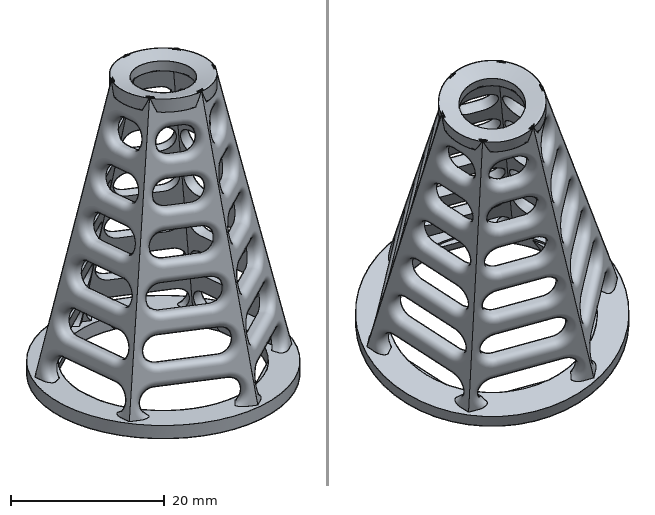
import cadquery as cq
import math

height = 44.55
side_count = 6

base_diameter = 35.6
base_bore_diameter = 27.35
base_thickness = 1.95

bottom_corner_radius = base_diameter / 2
top_corner_radius = 7.0
wall_thickness = 2.0

collar_thickness = 1.95
collar_drop = 0.15
collar_bore_diameter = 8.65
collar_rim_width = 0.25
dish_depth = 0.5

row_count = 6
row_pitch = 7.0
slot_width = 4.0
slot_rounding = 1.0
passage_depth = 2.45
corner_land = 0.5

collar_top = height - collar_drop
collar_bottom = collar_top - collar_thickness

apothem_ratio = math.cos(math.pi / side_count)
side_ratio = 2 * math.sin(math.pi / side_count)
corner_taper = (bottom_corner_radius - top_corner_radius) / height
face_tilt = math.atan(corner_taper * apothem_ratio)
inner_offset = wall_thickness / math.cos(face_tilt) / apothem_ratio


def corner_radius(z):
    return bottom_corner_radius - corner_taper * z


def hexagonal_frustum(z_top, offset):
    """Six-sided frustum from z = 0, its corners moved inward by offset."""
    return (
        cq.Workplane("XY")
        .polygon(side_count, 2 * (corner_radius(0) - offset))
        .workplane(offset=z_top)
        .polygon(side_count, 2 * (corner_radius(z_top) - offset))
        .loft(ruled=True)
    )


def slot_cutter(z):
    """Cutter for one slot in the -Y face, square to it and flared at its mouth."""
    face_side = corner_radius(z) * side_ratio
    mouth_width = slot_width + 2 * slot_rounding
    mouth_length = face_side - 2 * corner_land
    slot_length = mouth_length - 2 * slot_rounding

    slab = (
        cq.Workplane("XY")
        .rect(mouth_length + corner_land, mouth_width + corner_land)
        .extrude(slot_rounding)
    )
    passage = (
        cq.Workplane("XY")
        .slot2D(slot_length, slot_width)
        .extrude(-passage_depth)
    )
    mouth_edges = cq.selectors.BoxSelector(
        (-mouth_length / 2, -mouth_width / 2, -slot_rounding / 2),
        (mouth_length / 2, mouth_width / 2, slot_rounding / 2),
    )
    cutter = slab.union(passage).edges(mouth_edges).fillet(slot_rounding)
    face_plane = cq.Plane(
        origin=(0, -corner_radius(z) * apothem_ratio, z),
        xDir=(1, 0, 0),
        normal=(0, -math.cos(face_tilt), math.sin(face_tilt)),
    )
    return cq.Workplane(cutter.val().moved(cq.Location(face_plane)))


def side_wedge():
    """Triangular prism holding everything between two neighbouring tower corners."""
    reach = 2 * bottom_corner_radius
    half_width = reach * math.tan(math.pi / side_count)
    return (
        cq.Workplane("XY")
        .polyline([(0, 0), (-half_width, -reach), (half_width, -reach)])
        .close()
        .extrude(height)
    )


def side_panel():
    """The -Y side of the tower wall with its column of slots."""
    shell = hexagonal_frustum(height, 0).cut(hexagonal_frustum(collar_bottom, inner_offset))
    panel = shell.intersect(side_wedge())
    row_rise = row_pitch * math.cos(face_tilt)
    first_row_z = base_thickness + slot_width / 2 * math.cos(face_tilt)
    for row in range(row_count):
        panel = panel.cut(slot_cutter(first_row_z + row * row_rise))
    return panel.val()


def tower():
    panel = side_panel()
    panels = [panel.rotate((0, 0, 0), (0, 0, 1), side * 360 / side_count) for side in range(side_count)]
    return cq.Workplane(panels[0].fuse(*panels[1:]).clean())


def base_ring():
    return (
        cq.Workplane("XY")
        .circle(base_diameter / 2)
        .circle(base_bore_diameter / 2)
        .extrude(base_thickness)
    )


def collar():
    return (
        cq.Workplane("XY", origin=(0, 0, collar_bottom))
        .circle(top_corner_radius)
        .extrude(collar_thickness)
    )


def collar_opening():
    """Bore and conical dish removed from the top of the tower."""
    bore_radius = collar_bore_diameter / 2
    dish_radius = top_corner_radius - collar_rim_width
    return (
        cq.Workplane("XZ")
        .moveTo(0, collar_bottom)
        .lineTo(bore_radius, collar_bottom)
        .lineTo(bore_radius, collar_top - dish_depth)
        .lineTo(dish_radius, collar_top)
        .lineTo(dish_radius, height)
        .lineTo(0, height)
        .close()
        .revolve(360, (0, 0, 0), (0, 1, 0))
    )


result = tower().union(base_ring()).union(collar()).cut(collar_opening())